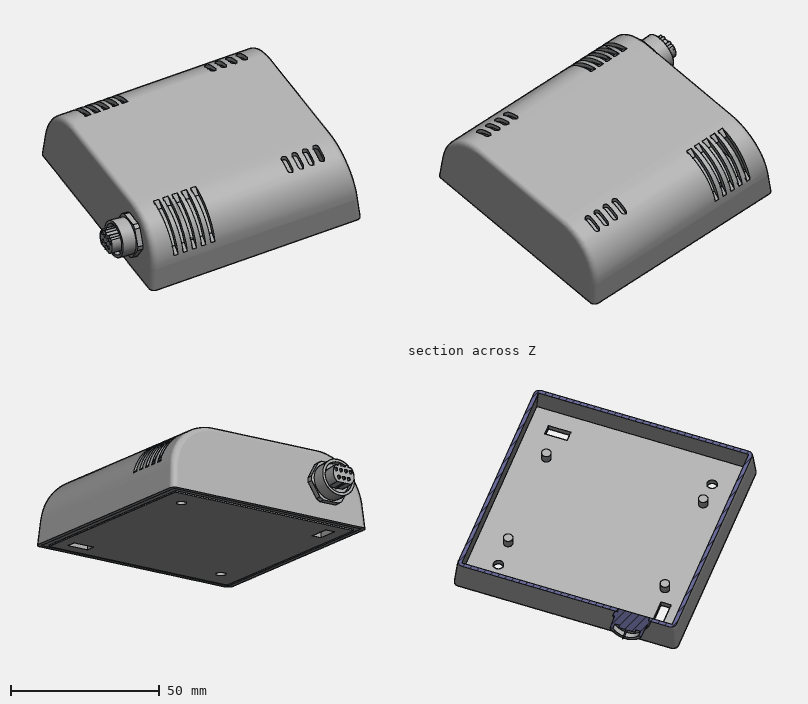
import cadquery as cq
import math

HOUSING_SIZE = 80.0
HOUSING_HEIGHT = 25.0
WALL = 1.5
DRAFT = math.radians(5.0)
SHOULDER_RADIUS = 18.0
EDGE_FILLET = 2.0

SIDE_VENT_COUNT = 5
SIDE_VENT_PITCH = 3.5
SIDE_VENT_FIRST_Y = -16.0
SIDE_VENT_CHORD_OFFSET = 15.1
SIDE_VENT_TOP_WIDTH = 2.0
SIDE_VENT_BOTTOM_WIDTH = 1.5

TOP_VENT_COUNT = 4
TOP_VENT_PITCH = 4.0
TOP_VENT_FIRST_Y = 18.0
TOP_VENT_X = 27.65
TOP_VENT_LENGTH = 6.2
TOP_VENT_WIDTH = 2.0

BASE_THICKNESS = 1.5
FOOT_SIZE = 73.3
FOOT_HEIGHT = 0.5
MOUNT_OFFSET = 28.0
MOUNT_HOLE_DIAMETER = 3.5
MOUNT_SLOT_LENGTH = 8.0
MOUNT_SLOT_WIDTH = 3.6
MOUNT_SLOT_OFFSET = 30.4
POST_DIAMETER = 3.2
POST_HEIGHT = 3.0
POST_FRONT_Y = -18.4
POST_REAR_Y = 19.2

CONNECTOR_X = 24.0
CONNECTOR_Z = 13.0
SHANK_DIAMETER = 12.0
NUT_ACROSS_FLATS = 14.0
NUT_CORNER_DIAMETER = 15.3
NUT_THICKNESS = 2.0
BARREL_DIAMETER = 13.0
BARREL_BORE_DIAMETER = 11.0
BARREL_END = 7.0
BARREL_BORE_DEPTH = 2.0
PLUG_DIAMETER = 8.6
PLUG_END = 10.0
PLUG_TOP = 2.9
PLUG_BOTTOM = -3.15
TOP_KEY_OFFSET = 1.5
TOP_KEY_DIAMETER = 1.2
BOTTOM_KEY_DIAMETER = 0.7
CONTACT_DIAMETER = 1.2
CONTACT_DEPTH = 0.5
CONTACT_ROWS = ((4, 2.0, 1.35), (3, 2.0, -1.35))

HALF = HOUSING_SIZE / 2
SHOULDER_Z = HOUSING_HEIGHT - SHOULDER_RADIUS
SHOULDER_MID_ANGLE = (DRAFT + math.pi / 2) / 2
SHOULDER_X = (
    HALF - SHOULDER_Z * math.tan(DRAFT) - SHOULDER_RADIUS / math.cos(DRAFT)
)


def drafted_block(inset):
    """Domed block with every face moved in by inset, except the flat bottom."""
    radius = SHOULDER_RADIUS - inset
    top = HOUSING_HEIGHT - inset
    foot = HALF - inset / math.cos(DRAFT)
    tangent_x = SHOULDER_X + radius * math.cos(DRAFT)
    tangent_z = SHOULDER_Z + radius * math.sin(DRAFT)
    mid_x = SHOULDER_X + radius * math.cos(SHOULDER_MID_ANGLE)
    mid_z = SHOULDER_Z + radius * math.sin(SHOULDER_MID_ANGLE)
    dome = (
        cq.Workplane("XZ")
        .moveTo(-foot, 0)
        .lineTo(foot, 0)
        .lineTo(tangent_x, tangent_z)
        .threePointArc((mid_x, mid_z), (SHOULDER_X, top))
        .lineTo(-SHOULDER_X, top)
        .threePointArc((-mid_x, mid_z), (-tangent_x, tangent_z))
        .close()
        .extrude(HALF, both=True)
    )
    top_half = foot - top * math.tan(DRAFT)
    taper = (
        cq.Workplane("YZ")
        .polyline([(-foot, 0), (foot, 0), (top_half, top), (-top_half, top)])
        .close()
        .extrude(HALF, both=True)
    )
    return dome.intersect(taper)


def side_vent(y):
    """Wedge lying on the +X shoulder chord, narrowing downward."""
    half_chord = math.sqrt(SHOULDER_RADIUS**2 - SIDE_VENT_CHORD_OFFSET**2)
    normal_x = math.cos(SHOULDER_MID_ANGLE)
    normal_z = math.sin(SHOULDER_MID_ANGLE)
    chord_plane = cq.Plane(
        origin=(
            SHOULDER_X + SIDE_VENT_CHORD_OFFSET * normal_x,
            y,
            SHOULDER_Z + SIDE_VENT_CHORD_OFFSET * normal_z,
        ),
        xDir=(-normal_z, 0, normal_x),
        normal=(normal_x, 0, normal_z),
    )
    half_top = SIDE_VENT_TOP_WIDTH / 2
    half_bottom = SIDE_VENT_BOTTOM_WIDTH / 2
    return (
        cq.Workplane(chord_plane)
        .polyline([
            (-half_chord, -half_bottom),
            (half_chord, -half_top),
            (half_chord, half_top),
            (-half_chord, half_bottom),
        ])
        .close()
        .extrude(SHOULDER_RADIUS - SIDE_VENT_CHORD_OFFSET)
    )


def top_vent(y):
    """Round-ended vertical cutter through the +X shoulder."""
    return (
        cq.Workplane("XY", origin=(TOP_VENT_X, y, SHOULDER_Z + SHOULDER_RADIUS / 2))
        .slot2D(TOP_VENT_LENGTH, TOP_VENT_WIDTH)
        .extrude(SHOULDER_RADIUS)
    )


connector_plane = cq.Plane(
    origin=(CONNECTOR_X, -HALF + CONNECTOR_Z * math.tan(DRAFT), CONNECTOR_Z),
    xDir=(1, 0, 0),
    normal=(0, -math.cos(DRAFT), math.sin(DRAFT)),
)


def connector_disc(start, end, diameter):
    """Cylinder on the connector axis between two distances from the wall face."""
    return (
        cq.Workplane(connector_plane)
        .workplane(offset=start)
        .circle(diameter / 2)
        .extrude(end - start)
    )


def make_shank():
    return connector_disc(-WALL, 0, SHANK_DIAMETER)


def make_housing():
    shell = drafted_block(0)
    shell = shell.faces("<Y or >Y").edges("not(<Z)").fillet(EDGE_FILLET)
    shell = shell.cut(drafted_block(WALL))
    vents = [
        side_vent(SIDE_VENT_FIRST_Y - i * SIDE_VENT_PITCH) for i in range(SIDE_VENT_COUNT)
    ]
    vents += [
        top_vent(TOP_VENT_FIRST_Y + i * TOP_VENT_PITCH) for i in range(TOP_VENT_COUNT)
    ]
    for vent in vents:
        shell = shell.cut(vent).cut(vent.mirror("YZ"))
    return shell.cut(make_shank())


def make_base():
    """Plate filling the housing opening, with a foot pad, posts and mounting openings."""
    slab = cq.Workplane("XY").box(
        HOUSING_SIZE, HOUSING_SIZE, BASE_THICKNESS, centered=(True, True, False)
    )
    plate = drafted_block(WALL).intersect(slab)
    foot = cq.Workplane("XY").rect(FOOT_SIZE, FOOT_SIZE).extrude(-FOOT_HEIGHT)
    posts = (
        cq.Workplane("XY", origin=(0, 0, BASE_THICKNESS))
        .pushPoints([
            (x, y) for x in (-MOUNT_OFFSET, MOUNT_OFFSET) for y in (POST_FRONT_Y, POST_REAR_Y)
        ])
        .circle(POST_DIAMETER / 2)
        .extrude(POST_HEIGHT)
    )
    below = cq.Workplane("XY", origin=(0, 0, -FOOT_HEIGHT))
    through = FOOT_HEIGHT + BASE_THICKNESS
    holes = (
        below.pushPoints([(MOUNT_OFFSET, MOUNT_OFFSET), (-MOUNT_OFFSET, -MOUNT_OFFSET)])
        .circle(MOUNT_HOLE_DIAMETER / 2)
        .extrude(through)
    )
    slot_across = (
        below.center(-MOUNT_OFFSET, MOUNT_SLOT_OFFSET)
        .rect(MOUNT_SLOT_LENGTH, MOUNT_SLOT_WIDTH)
        .extrude(through)
    )
    slot_along = (
        below.center(MOUNT_SLOT_OFFSET, -MOUNT_OFFSET)
        .rect(MOUNT_SLOT_WIDTH, MOUNT_SLOT_LENGTH)
        .extrude(through)
    )
    base = plate.union(foot).union(posts)
    return base.cut(holes).cut(slot_across).cut(slot_along)


def make_plug():
    """Keyed contact block: a cylinder with flats above and below and round keying ribs."""
    start = BARREL_END - BARREL_BORE_DEPTH
    length = PLUG_END - start
    face = cq.Workplane(connector_plane).workplane(offset=start)
    flats = (
        face.center(0, (PLUG_TOP + PLUG_BOTTOM) / 2)
        .rect(PLUG_DIAMETER, PLUG_TOP - PLUG_BOTTOM)
        .extrude(length)
    )
    plug = connector_disc(start, PLUG_END, PLUG_DIAMETER).intersect(flats)
    top_keys = (
        face.pushPoints([(-TOP_KEY_OFFSET, PLUG_TOP), (TOP_KEY_OFFSET, PLUG_TOP)])
        .circle(TOP_KEY_DIAMETER / 2)
        .extrude(length)
    )
    bottom_key = face.center(0, PLUG_BOTTOM).circle(BOTTOM_KEY_DIAMETER / 2).extrude(length)
    plug = plug.union(top_keys).union(bottom_key)
    tip = cq.Workplane(connector_plane).workplane(offset=PLUG_END)
    for count, pitch, height in CONTACT_ROWS:
        row = [((i - (count - 1) / 2) * pitch, height) for i in range(count)]
        plug = plug.cut(
            tip.pushPoints(row).circle(CONTACT_DIAMETER / 2).extrude(-CONTACT_DEPTH)
        )
    return plug


def make_connector():
    hexagon = (
        cq.Workplane(connector_plane)
        .transformed(rotate=(0, 0, 30))
        .polygon(6, NUT_ACROSS_FLATS, circumscribed=True)
        .extrude(NUT_THICKNESS)
    )
    nut = hexagon.intersect(connector_disc(0, NUT_THICKNESS, NUT_CORNER_DIAMETER))
    barrel = connector_disc(0, BARREL_END, BARREL_DIAMETER)
    bore = connector_disc(BARREL_END - BARREL_BORE_DEPTH, BARREL_END, BARREL_BORE_DIAMETER)
    return make_shank().union(nut).union(barrel).cut(bore).union(make_plug())


housing = make_housing()
base = make_base()
connector = make_connector()

result = cq.Compound.makeCompound([
    body.solids().val() for body in (housing, base, connector)
])